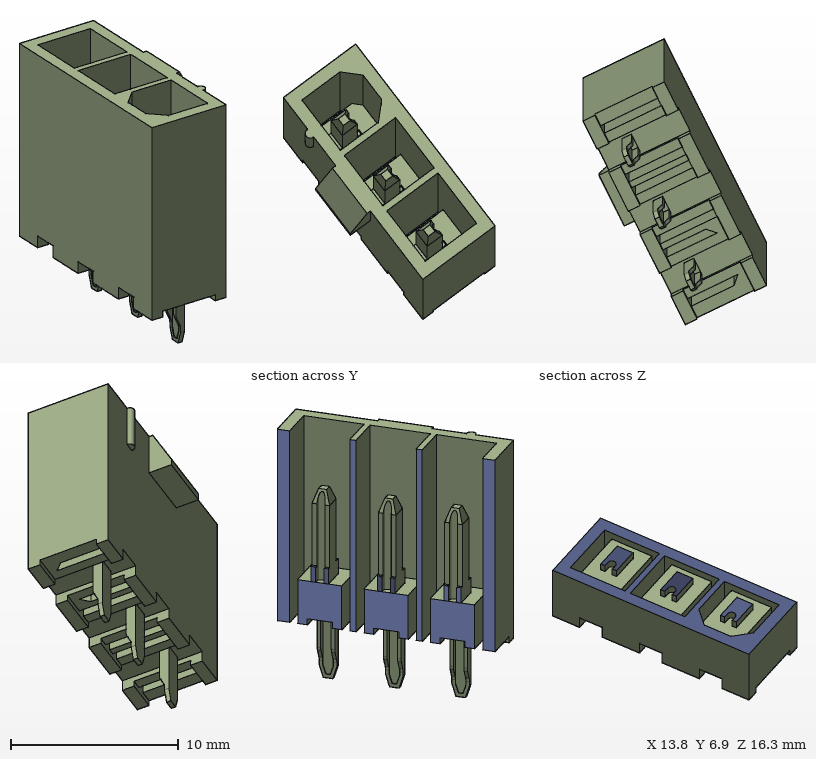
import cadquery as cq


TOTAL_HEIGHT = 16.3
PIN_PITCH = 4.2
PIN_X_POSITIONS = [-PIN_PITCH, 0.0, PIN_PITCH]

HOUSING_LENGTH = 13.8
HOUSING_DEPTH = 5.4
HOUSING_HEIGHT = 12.81
CAVITY_SIZE = 3.81
KEY_CHAMFER = 0.98
FLOOR_WIDTH = 2.8
FLOOR_TOP = 3.26

RECESS_HEIGHT = 0.39
NOTCH_HEIGHT = 0.78
NOTCH_WIDTH = 1.58

LATCH_WIDTH = 3.44
LATCH_REACH = 1.5
LATCH_TOP_REACH = 0.25
LATCH_HEIGHT = 2.98
LATCH_TIP_HEIGHT = 0.49
RIB_RADIUS = 0.3
RIB_REACH = 0.33

PIN_WIDTH = 1.12
PIN_BACK_SETBACK = 1.53
TAIL_DEPTH = 0.64
TAIL_TIP_DEPTH = 0.3
TAIL_SLOPE_TOP = 1.94
TAIL_SLOPE_BOTTOM = 1.2
TAIL_BEND_RADIUS = 0.57
TAIL_TAPER_HEIGHT = 0.82
TAIL_TIP_WIDTH = 0.6
TAIL_GROOVE_WIDTH = 0.67
TAIL_GROOVE_TIP_WIDTH = 0.28
TAIL_GROOVE_END = 0.25
TAIL_WEB_DEPTH = 0.25
SHOULDER_DEPTH = 1.87
SHOULDER_HEIGHT = 0.98
SHOULDER_CHAMFER = 0.07
CONTACT_SETBACK = 0.4
CONTACT_HEIGHT = 5.87
CONTACT_TIP_WIDTH = 0.5
CONTACT_TIP_HEIGHT = 0.88
CONTACT_GROOVE_WIDTH = 0.5
CONTACT_GROOVE_GAP = 0.05

HOUSING_BACK = HOUSING_DEPTH / 2
PIN_BOTTOM = HOUSING_HEIGHT - TOTAL_HEIGHT
PIN_BACK = HOUSING_BACK - PIN_BACK_SETBACK
TAIL_FRONT = PIN_BACK - TAIL_DEPTH
SHOULDER_FRONT = PIN_BACK - SHOULDER_DEPTH
CONTACT_BACK = PIN_BACK - CONTACT_SETBACK
CONTACT_TIP_BACK = CONTACT_BACK - (PIN_WIDTH - CONTACT_TIP_WIDTH) / 2


def box(width, depth, height, x, y, z):
    """Box centred on (x, y) that stands on height z."""
    return cq.Workplane("XY").box(width, depth, height, centered=(True, True, False)).translate((x, y, z))


def box_from_back(width, depth, height, back, z):
    """Box centred on X = 0 that reaches forward from the plane Y = back and stands on height z."""
    return box(width, depth, height, 0, back - depth / 2, z)


def make_cavity(x, height, keyed):
    """Square column above z = 0; a keyed one has its two front corners cut off."""
    cavity = box(CAVITY_SIZE, CAVITY_SIZE, height, x, 0, 0)
    if keyed:
        cavity = cavity.faces("<Y").edges("|Z").chamfer(KEY_CHAMFER)
    return cavity


def make_latch():
    """Wedge on the back wall, flush with the top of the housing."""
    bottom = HOUSING_HEIGHT - LATCH_HEIGHT
    return (
        cq.Workplane("YZ")
        .moveTo(HOUSING_BACK, bottom)
        .lineTo(HOUSING_BACK + LATCH_REACH, bottom)
        .lineTo(HOUSING_BACK + LATCH_REACH, bottom + LATCH_TIP_HEIGHT)
        .lineTo(HOUSING_BACK + LATCH_TOP_REACH, HOUSING_HEIGHT)
        .lineTo(HOUSING_BACK, HOUSING_HEIGHT)
        .close()
        .extrude(LATCH_WIDTH / 2, both=True)
    )


def make_rib():
    """Round upright rib on the back wall behind the last cavity, as tall as the latch."""
    return (
        cq.Workplane("XY", origin=(0, 0, HOUSING_HEIGHT - LATCH_HEIGHT))
        .center(PIN_X_POSITIONS[-1], HOUSING_BACK + RIB_REACH - RIB_RADIUS)
        .circle(RIB_RADIUS)
        .extrude(LATCH_HEIGHT)
    )


def make_housing():
    """Block with its latch, rib, cavities, underside reliefs and tail holes."""
    housing = box(HOUSING_LENGTH, HOUSING_DEPTH, HOUSING_HEIGHT, 0, 0, 0)
    housing = housing.union(make_latch()).union(make_rib())

    housing = housing.cut(box(HOUSING_LENGTH, CAVITY_SIZE, RECESS_HEIGHT, 0, 0, 0))

    for x in PIN_X_POSITIONS:
        cavity = make_cavity(x, HOUSING_HEIGHT, keyed=x == PIN_X_POSITIONS[-1])
        floor = box(FLOOR_WIDTH, CAVITY_SIZE, FLOOR_TOP, x, 0, 0)
        housing = housing.cut(cavity.cut(floor))

        housing = housing.cut(box(NOTCH_WIDTH, HOUSING_DEPTH, NOTCH_HEIGHT, x, 0, 0))
        tail_hole = box_from_back(PIN_WIDTH, TAIL_DEPTH, FLOOR_TOP, PIN_BACK, 0)
        housing = housing.cut(tail_hole.translate((x, 0, 0)))
    return housing


def tapered_outline(width, tip_width, bottom, taper_top, top):
    """Outline across X that narrows towards its flat lower end."""
    return cq.Workplane("XZ").polyline([
        (-tip_width / 2, bottom),
        (tip_width / 2, bottom),
        (width / 2, taper_top),
        (width / 2, top),
        (-width / 2, top),
        (-width / 2, taper_top),
    ]).close()


def make_tail():
    """Tail thinned and tapered towards its tip, with a groove in its front below the floor."""
    tip_front = PIN_BACK - TAIL_TIP_DEPTH
    slope_top = PIN_BOTTOM + TAIL_SLOPE_TOP
    slope_bottom = PIN_BOTTOM + TAIL_SLOPE_BOTTOM
    taper_top = PIN_BOTTOM + TAIL_TAPER_HEIGHT
    tail = (
        cq.Workplane("YZ")
        .moveTo(PIN_BACK, PIN_BOTTOM)
        .lineTo(PIN_BACK, FLOOR_TOP)
        .lineTo(TAIL_FRONT, FLOOR_TOP)
        .lineTo(TAIL_FRONT, slope_top)
        .lineTo(tip_front, slope_bottom)
        .lineTo(tip_front, PIN_BOTTOM)
        .close()
        .extrude(PIN_WIDTH / 2, both=True)
    )
    for y, z in [(TAIL_FRONT, slope_top), (tip_front, slope_bottom)]:
        tail = tail.edges(cq.NearestToPointSelector((0, y, z))).fillet(TAIL_BEND_RADIUS)

    silhouette = tapered_outline(PIN_WIDTH, TAIL_TIP_WIDTH, PIN_BOTTOM, taper_top, FLOOR_TOP)
    tail = tail.intersect(silhouette.extrude(HOUSING_DEPTH, both=True))

    groove = tapered_outline(
        TAIL_GROOVE_WIDTH, TAIL_GROOVE_TIP_WIDTH, PIN_BOTTOM + TAIL_GROOVE_END, taper_top, NOTCH_HEIGHT
    )
    web_front = PIN_BACK - TAIL_WEB_DEPTH
    return tail.cut(groove.extrude(TAIL_DEPTH).translate((0, web_front, 0)))


def make_contact_groove():
    """Round-bottomed groove that opens to the front and stops just short of the flat of the tip."""
    radius = CONTACT_GROOVE_WIDTH / 2
    groove_back = CONTACT_TIP_BACK - CONTACT_TIP_WIDTH - CONTACT_GROOVE_GAP
    return (
        cq.Workplane("XY", origin=(0, 0, FLOOR_TOP))
        .moveTo(-radius, SHOULDER_FRONT)
        .lineTo(-radius, groove_back - radius)
        .threePointArc((0, groove_back), (radius, groove_back - radius))
        .lineTo(radius, SHOULDER_FRONT)
        .close()
        .extrude(CONTACT_HEIGHT)
    )


def make_shoulder():
    """Grooved block on the floor, chamfered along its upper edges except on the two outer sides."""
    shoulder = box_from_back(PIN_WIDTH, SHOULDER_DEPTH, SHOULDER_HEIGHT, PIN_BACK, FLOOR_TOP)
    shoulder = shoulder.cut(make_contact_groove())
    return shoulder.faces(">Z").edges("|X or %CIRCLE").chamfer(SHOULDER_CHAMFER)


def make_contact():
    """Square post with a pyramid tip and a groove in its front."""
    shaft_height = CONTACT_HEIGHT - CONTACT_TIP_HEIGHT
    shaft = box_from_back(PIN_WIDTH, PIN_WIDTH, shaft_height, CONTACT_BACK, FLOOR_TOP)
    tip = (
        cq.Workplane("XY", origin=(0, CONTACT_BACK - PIN_WIDTH / 2, FLOOR_TOP + shaft_height))
        .rect(PIN_WIDTH, PIN_WIDTH)
        .workplane(offset=CONTACT_TIP_HEIGHT)
        .rect(CONTACT_TIP_WIDTH, CONTACT_TIP_WIDTH)
        .loft(ruled=True)
    )
    return shaft.union(tip).cut(make_contact_groove())


def make_pin(x):
    """One pin, its tail, shoulder and contact in a single piece."""
    return make_tail().union(make_shoulder()).union(make_contact()).translate((x, 0, 0))


housing = make_housing()
pins = [make_pin(x) for x in PIN_X_POSITIONS]

result = cq.Compound.makeCompound([housing.val(), *[pin.val() for pin in pins]])